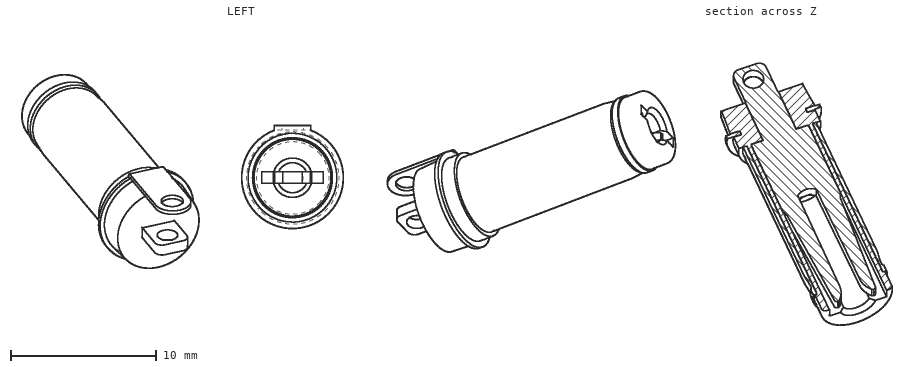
import cadquery as cq
import math

sleeve_front_x = 1.5
groove_start_x = 1.95
groove_bottom_x = 2.15
groove_end_x = 3.18
collar_front_x = 14.47
washer_front_x = 15.5
rear_face_x = 17.78
tail_end_x = 20.47
overall_length = 21.5

nose_radius = 2.65
nose_fillet = 0.3
neck_radius = 2.5
collar_radius = 3.05
barb_radius = 3.18
bore_radius = 1.03
bore_mouth_radius = 1.35
bore_mouth_depth = 0.32
bore_end_x = 9.68

sleeve_radius = 2.75
groove_radius = 2.65

washer_diameter = 7.0
lug_thickness = 0.28
tab_width = 2.52
tab_top_z = 3.6
tab_hole_diameter = 1.5
tab_end_radius = tab_width / 2
tab_end_center_x = overall_length - tab_end_radius
tab_hole_x = 20.17
bend_start_z = tab_top_z - lug_thickness
washer_rear_x = washer_front_x + lug_thickness

contact_thickness = 0.8
contact_half_width = 2.1
tail_half_width = 1.2
tail_corner_radius = 0.54
tail_hole_diameter = 1.4
tail_hole_x = 19.35
tip_x = 0.4
tip_half_width = 1.33
tip_bevel_x = 0.45
tip_bevel_half_width = 1.2
tip_outer_half_width = 1.53
tip_outer_radius = tip_outer_half_width - tip_half_width
prong_shoulder_half_width = 1.98
prong_shoulder_x = 8.17
prong_shoulder_length = 0.37
slit_mouth_half_width = 0.73
slit_end_half_width = 0.67
grip_radius = 1.5
slit_end_radius = 1.0


def revolve_about_x(profile):
    """Turn a closed (x, radius) profile about the barrel axis."""
    return profile.close().revolve(360, (0, 0, 0), (1, 0, 0))


def make_cylinder(radius, start_x, end_x):
    return cq.Workplane("YZ", origin=(start_x, 0, 0)).circle(radius).extrude(end_x - start_x)


def make_bar(half_width, start_x, end_x):
    """Flat bar of contact thickness centred on the axis."""
    length = end_x - start_x
    return cq.Workplane("XY").box(length, 2 * half_width, contact_thickness).translate(
        ((start_x + end_x) / 2, 0, 0)
    )


def make_insulator():
    body = revolve_about_x(
        cq.Workplane("XY")
        .moveTo(0, 0)
        .lineTo(0, nose_radius - nose_fillet)
        .radiusArc((nose_fillet, nose_radius), nose_fillet)
        .lineTo(sleeve_front_x, nose_radius)
        .lineTo(sleeve_front_x, neck_radius)
        .lineTo(collar_front_x, neck_radius)
        .lineTo(collar_front_x, collar_radius)
        .lineTo(washer_front_x, collar_radius)
        .lineTo(washer_front_x, neck_radius)
        .lineTo(washer_rear_x, neck_radius)
        .lineTo(washer_rear_x, barb_radius)
        .lineTo(rear_face_x, collar_radius)
        .lineTo(rear_face_x, 0)
    )
    bore = revolve_about_x(
        cq.Workplane("XY")
        .moveTo(0, 0)
        .lineTo(0, bore_mouth_radius)
        .lineTo(bore_mouth_depth, bore_radius)
        .lineTo(bore_end_x, bore_radius)
        .lineTo(bore_end_x, 0)
    )
    contact_slot = make_bar(contact_half_width, 0, collar_front_x)
    tail_slot = make_bar(tail_half_width, collar_front_x, rear_face_x)
    return body.cut(bore).cut(contact_slot).cut(tail_slot)


def make_sleeve():
    return revolve_about_x(
        cq.Workplane("XY")
        .moveTo(sleeve_front_x, neck_radius)
        .lineTo(sleeve_front_x, sleeve_radius)
        .lineTo(groove_start_x, sleeve_radius)
        .lineTo(groove_bottom_x, groove_radius)
        .lineTo(groove_end_x, sleeve_radius)
        .lineTo(collar_front_x, sleeve_radius)
        .lineTo(collar_front_x, neck_radius)
    )


def make_solder_lug():
    disc = make_cylinder(washer_diameter / 2, washer_front_x, washer_rear_x)
    below_bend = (
        cq.Workplane("YZ", origin=(washer_front_x, 0, bend_start_z - washer_diameter / 2))
        .rect(washer_diameter, washer_diameter)
        .extrude(lug_thickness)
    )
    washer = disc.intersect(below_bend)
    tab = (
        cq.Workplane("XZ")
        .moveTo(washer_front_x, 0)
        .lineTo(washer_front_x, bend_start_z)
        .radiusArc((washer_rear_x, tab_top_z), lug_thickness)
        .lineTo(tab_end_center_x, tab_top_z)
        .lineTo(tab_end_center_x, bend_start_z)
        .lineTo(washer_rear_x, bend_start_z)
        .lineTo(washer_rear_x, 0)
        .close()
        .extrude(tab_width / 2, both=True)
    )
    tab_top = cq.Workplane("XY", origin=(0, 0, tab_top_z))
    tab_end = tab_top.center(tab_end_center_x, 0).circle(tab_end_radius).extrude(-lug_thickness)
    tab_hole = tab_top.center(tab_hole_x, 0).circle(tab_hole_diameter / 2).extrude(-lug_thickness)
    washer_hole = make_cylinder(neck_radius, washer_front_x, washer_rear_x)
    return washer.union(tab).union(tab_end).cut(tab_hole).cut(washer_hole)


def make_contact():
    grip_center_offset = slit_mouth_half_width + grip_radius - tip_bevel_half_width
    slit_start_x = tip_bevel_x + math.sqrt(grip_radius**2 - grip_center_offset**2)
    slit_corner_x = bore_end_x - slit_end_radius + math.sqrt(slit_end_radius**2 - slit_end_half_width**2)
    outer_tip_x = tip_x + tip_outer_radius

    blade = (
        cq.Workplane("XY")
        .moveTo(tip_x, tip_half_width)
        .radiusArc((outer_tip_x, tip_outer_half_width), tip_outer_radius)
        .lineTo(prong_shoulder_x, prong_shoulder_half_width)
        .lineTo(prong_shoulder_x + prong_shoulder_length, contact_half_width)
        .lineTo(collar_front_x, contact_half_width)
        .lineTo(collar_front_x, -contact_half_width)
        .lineTo(prong_shoulder_x + prong_shoulder_length, -contact_half_width)
        .lineTo(prong_shoulder_x, -prong_shoulder_half_width)
        .lineTo(outer_tip_x, -tip_outer_half_width)
        .radiusArc((tip_x, -tip_half_width), tip_outer_radius)
        .lineTo(tip_bevel_x, -tip_bevel_half_width)
        .radiusArc((slit_start_x, -slit_mouth_half_width), grip_radius)
        .lineTo(slit_corner_x, -slit_end_half_width)
        .threePointArc((bore_end_x, 0), (slit_corner_x, slit_end_half_width))
        .lineTo(slit_start_x, slit_mouth_half_width)
        .radiusArc((tip_bevel_x, tip_bevel_half_width), grip_radius)
        .close()
        .extrude(contact_thickness / 2, both=True)
    )
    tail = (
        make_bar(tail_half_width, collar_front_x, tail_end_x)
        .edges("|Z and >X")
        .fillet(tail_corner_radius)
    )
    tail_hole = (
        cq.Workplane("XY")
        .center(tail_hole_x, 0)
        .circle(tail_hole_diameter / 2)
        .extrude(contact_thickness / 2, both=True)
    )
    return blade.union(tail).cut(tail_hole)


insulator = make_insulator()
sleeve = make_sleeve()
solder_lug = make_solder_lug()
contact = make_contact()

result = cq.Compound.makeCompound([insulator.val(), sleeve.val(), solder_lug.val(), contact.val()])